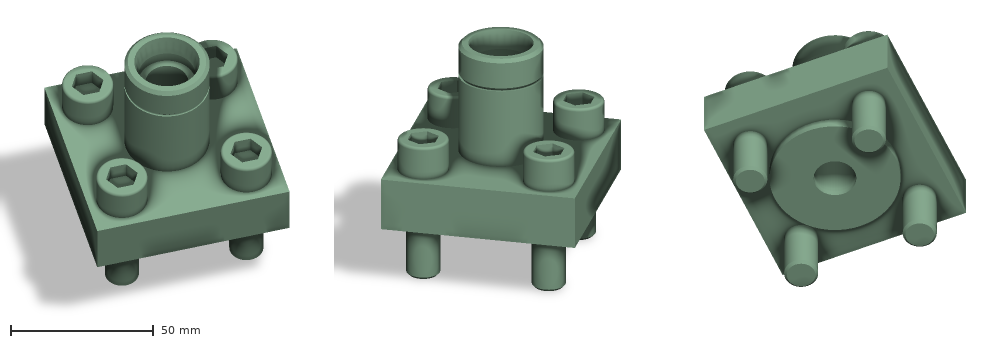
import cadquery as cq

plate_side = 70.0
plate_height = 19.0

tube_radius = 30 / 2
tube_top = plate_height + 41.0
tube_chamfer = 1.2
groove_depth = 1.0
collar_height = 12.0
groove_height = 1.1
bore_radius = 15.0 / 2
seat_radius = 20.0 / 2
cone_mouth_radius = 22.9 / 2
cone_depth = 6.8
seat_depth = 10.5

pad_diameter = 46.0
pad_depth = 3.9

screw_spacing = 45.3
shank_diameter = 12.0
shank_reach = 21.0
shank_chamfer = 1.0
head_diameter = 18.0
head_height = 12.0
head_fillet = 1.0
socket_across_flats = 10.0
socket_depth = 6.0


def make_tube():
    """Revolve the grooved outside of the tube, solid down to the plate underside."""
    shoulder_z = tube_top - collar_height
    groove_radius = tube_radius - groove_depth
    profile = [
        (0, 0),
        (tube_radius, 0),
        (tube_radius, shoulder_z),
        (groove_radius, shoulder_z),
        (tube_radius, shoulder_z + groove_height),
        (tube_radius, tube_top - tube_chamfer),
        (tube_radius - tube_chamfer, tube_top),
        (0, tube_top),
    ]
    return cq.Workplane("XZ").polyline(profile).close().revolve(360, (0, 0), (0, 1))


def make_bore():
    """Revolve the through bore, pipe seat and conical mouth."""
    seat_z = tube_top - seat_depth
    profile = [
        (0, -pad_depth),
        (bore_radius, -pad_depth),
        (bore_radius, seat_z),
        (seat_radius, seat_z),
        (seat_radius, tube_top - cone_depth),
        (cone_mouth_radius, tube_top),
        (0, tube_top),
    ]
    return cq.Workplane("XZ").polyline(profile).close().revolve(360, (0, 0), (0, 1))


def make_screw():
    """Build one screw on the Z axis, with its head resting on the plate."""
    shank = (
        cq.Workplane("XY", origin=(0, 0, -shank_reach))
        .circle(shank_diameter / 2)
        .extrude(shank_reach + plate_height)
        .faces("<Z")
        .chamfer(shank_chamfer)
    )
    head = (
        cq.Workplane("XY", origin=(0, 0, plate_height))
        .circle(head_diameter / 2)
        .extrude(head_height)
        .faces(">Z")
        .edges()
        .fillet(head_fillet)
    )
    socket = (
        cq.Workplane("XY", origin=(0, 0, plate_height + head_height))
        .polygon(6, socket_across_flats, circumscribed=True)
        .extrude(-socket_depth)
    )
    return shank.union(head).cut(socket)


plate = cq.Workplane("XY").rect(plate_side, plate_side).extrude(plate_height)
pad = cq.Workplane("XY").circle(pad_diameter / 2).extrude(-pad_depth)
result = plate.union(pad).union(make_tube()).cut(make_bore())

screw = make_screw()
for x_side in (-1, 1):
    for y_side in (-1, 1):
        position = (x_side * screw_spacing / 2, y_side * screw_spacing / 2, 0)
        result = result.union(screw.translate(position))